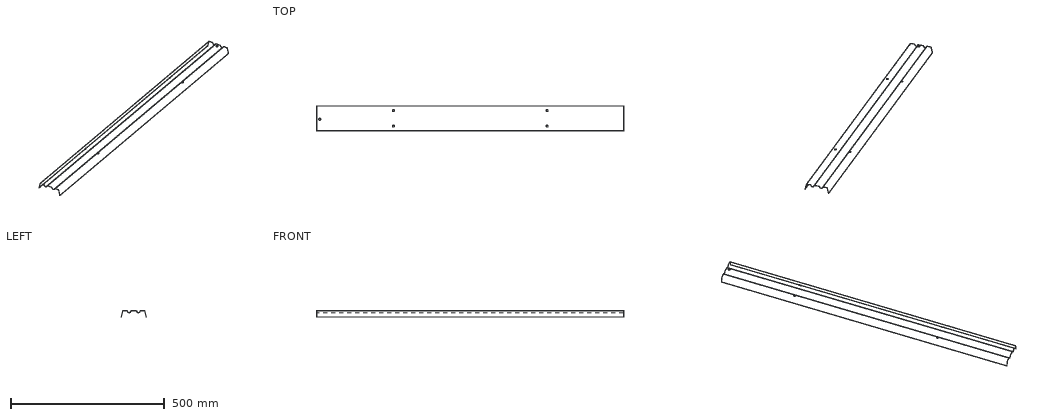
import cadquery as cq
import math

length = 1000.0
width = 82.1
height = 20.67
thickness = 0.6

web_angle = 76.4
lip_angle = 61.0

lip_bend_radius = 0.2
edge_bend_radius = 2.0
crest_radius = 3.0
groove_radius = 5.0

lip_length = 0.73

groove_offset = 15.05

square_hole_size = 5.0
square_hole_offset = 25.0
square_hole_stations = (length / 4, 3 * length / 4)

end_hole_diameter = 6.0
end_hole_station = 10.0
end_hole_offset = -3.0

web_sin = math.sin(math.radians(web_angle))
web_cos = math.cos(math.radians(web_angle))
lip_sin = math.sin(math.radians(lip_angle))
lip_cos = math.cos(math.radians(lip_angle))

lip_end_level = thickness * lip_cos

wall_start_level = lip_end_level + lip_length * lip_sin + lip_bend_radius * (lip_cos - web_cos)
wall_end_level = height - edge_bend_radius * (1 - web_cos)
wall_length = (wall_end_level - wall_start_level) / web_sin

lip_reach = lip_length * lip_cos + lip_bend_radius * (web_sin - lip_sin)
wall_reach = wall_length * web_cos + edge_bend_radius * web_sin
groove_reach = (crest_radius + groove_radius) * web_sin
side_flat = width / 2 - lip_reach - wall_reach - groove_offset - groove_reach
middle_flat = 2 * (groove_offset - groove_reach)


def straight(run):
    return ("straight", run)


def bend(angle, radius):
    """A bend by `angle` degrees, positive to the left."""
    return ("bend", angle, radius)


def section_path():
    """Straight runs and bends of the top surface, from the -Y foot to the +Y foot."""
    crest = bend(-web_angle, crest_radius)
    groove = [crest, bend(2 * web_angle, groove_radius), crest]
    side = [
        straight(lip_length),
        bend(web_angle - lip_angle, lip_bend_radius),
        straight(wall_length),
        bend(-web_angle, edge_bend_radius),
        straight(side_flat),
    ]
    return side + groove + [straight(middle_flat)] + groove + side[::-1]


def foot_point(depth):
    """End of the -Y lip, `depth` below the top surface."""
    return (-width / 2 + depth * lip_sin, lip_end_level - depth * lip_cos)


def trace(sketch, depth, side):
    """Draws the section path `depth` below the top surface, starting at the foot.

    `side` is 1 to start at the -Y foot, or -1 to draw the mirror image from the +Y foot.
    """
    y, z = foot_point(depth)
    heading = math.radians(lip_angle)
    for kind, *sizes in section_path():
        if kind == "straight":
            run = sizes[0]
            y += run * math.cos(heading)
            z += run * math.sin(heading)
            sketch = sketch.lineTo(side * y, z)
            continue

        angle, top_radius = sizes
        turn = math.radians(angle)
        radius = top_radius + math.copysign(depth, angle)
        chord = 2 * radius * math.sin(abs(turn) / 4)
        arc_points = []
        for chord_heading in (heading + turn / 4, heading + 3 * turn / 4):
            y += chord * math.cos(chord_heading)
            z += chord * math.sin(chord_heading)
            arc_points.append((side * y, z))
        sketch = sketch.threePointArc(*arc_points)
        heading += turn
    return sketch


def bent_sheet():
    """The bent section, run along X; the underside is drawn back from the +Y foot."""
    section = cq.Workplane("YZ").moveTo(*foot_point(0))
    section = trace(section, 0, 1)
    under_y, under_z = foot_point(thickness)
    section = section.lineTo(-under_y, under_z)
    section = trace(section, thickness, -1)
    return section.close().extrude(length)


def square_hole_cutters():
    places = []
    for station in square_hole_stations:
        for side in (-1, 1):
            places.append((station, side * square_hole_offset))
    return cq.Workplane("XY").pushPoints(places).rect(square_hole_size, square_hole_size).extrude(height)


def end_hole_cutter():
    plane = cq.Workplane("XY").center(end_hole_station, end_hole_offset)
    return plane.circle(end_hole_diameter / 2).extrude(height)


result = bent_sheet().cut(square_hole_cutters()).cut(end_hole_cutter())